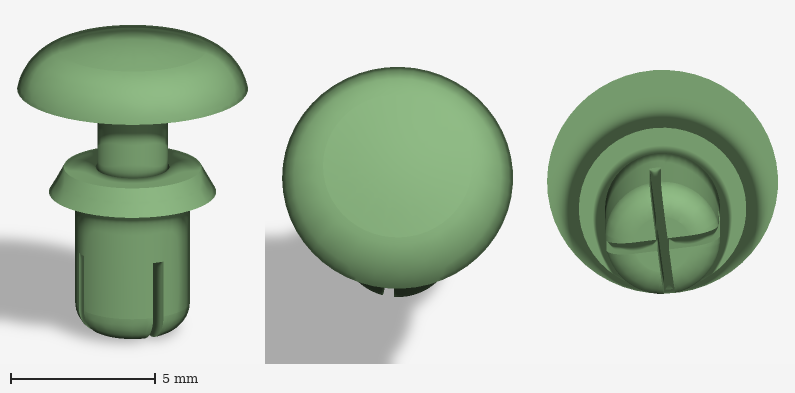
import cadquery as cq

total_height = 10.54
cap_edge_height = 10.22
head_base = 8.75
collar_top = 5.9
collar_base = 5.0
slot_top = 3.0

head_diameter = 8.0
cap_diameter = 5.16
shank_diameter = 2.45
clearance_diameter = 2.55
collar_top_diameter = 4.77
collar_base_diameter = 5.8
body_diameter = 3.98

tip_radius = 1.0
slot_width = 0.4
slot_angles = (45, 135)


def cylinder(diameter, bottom, top):
    return cq.Workplane("XY").workplane(offset=bottom).circle(diameter / 2).extrude(top - bottom)


def make_head():
    """Mushroom head: a shallow spherical cap blending tangentially into a rounded rim."""
    cap_radius = cap_diameter / 2
    cap_rise = total_height - cap_edge_height
    sphere_radius = (cap_radius**2 + cap_rise**2) / (2 * cap_rise)
    sphere_center_height = total_height - sphere_radius
    cap_middle_radius = cap_radius / 2
    cap_middle_height = sphere_center_height + (sphere_radius**2 - cap_middle_radius**2) ** 0.5
    return (
        cq.Workplane("XZ")
        .moveTo(0, head_base)
        .lineTo(0, total_height)
        .threePointArc((cap_middle_radius, cap_middle_height), (cap_radius, cap_edge_height))
        .tangentArcPoint((head_diameter / 2, head_base), relative=False)
        .close()
        .revolve(360, (0, 0), (0, 1))
    )


def make_collar():
    """Conical flange, wider at its underside."""
    return (
        cq.Workplane("XZ")
        .moveTo(0, collar_base)
        .lineTo(collar_base_diameter / 2, collar_base)
        .lineTo(collar_top_diameter / 2, collar_top)
        .lineTo(0, collar_top)
        .close()
        .revolve(360, (0, 0), (0, 1))
    )


def make_body():
    """Cylindrical body with a rounded tip."""
    return cylinder(body_diameter, 0, collar_base).faces("<Z").edges().fillet(tip_radius)


def make_slot(angle):
    """Slot across the full body, open at the tip."""
    return (
        cq.Workplane("XY")
        .rect(collar_base_diameter, slot_width)
        .extrude(slot_top)
        .rotate((0, 0, 0), (0, 0, 1), angle)
    )


sleeve = make_body().union(make_collar()).cut(cylinder(clearance_diameter, collar_base, collar_top))
for slot_angle in slot_angles:
    sleeve = sleeve.cut(make_slot(slot_angle))

shank = cylinder(shank_diameter, collar_base, head_base)
result = sleeve.union(shank).union(make_head())